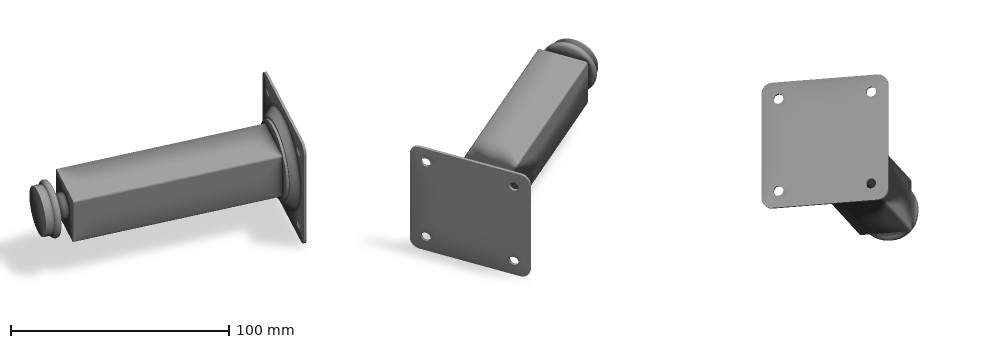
import cadquery as cq
import math


plate_side = 60.0
plate_thickness = 1.2
plate_corner_radius = 5.0
screw_hole_diameter = 4.7
screw_hole_spacing = 44.0

cone_base_diameter = 49.0
cone_top_diameter = 41.2
cone_end_station = 4.9
disc_diameter = 38.4
disc_end_station = 6.0

leg_side = 25.0
leg_edge_radius = 1.2
leg_end_station = 107.0

overall_length = 120.0
stem_diameter = 13.0
pad_diameter = 24.2
pad_height = 4.0
rim_diameter = 27.6
dome_edge_slope = 16.0


def rod(diameter, start, end):
    """Round bar about the leg axis between two stations."""
    return cq.Workplane("XZ", origin=(0, -start, 0)).circle(diameter / 2).extrude(end - start)


def make_plate():
    """Square plate with rounded corners and a screw hole near each corner."""
    return (
        cq.Workplane("XZ")
        .rect(plate_side, plate_side)
        .extrude(plate_thickness)
        .edges("|Y")
        .fillet(plate_corner_radius)
        .faces("<Y")
        .workplane(centerOption="CenterOfBoundBox")
        .rect(screw_hole_spacing, screw_hole_spacing, forConstruction=True)
        .vertices()
        .hole(screw_hole_diameter)
    )


def make_flange():
    """Cone on the plate, carrying the thin disc the leg stands on."""
    cone = (
        cq.Workplane("XZ", origin=(0, -plate_thickness, 0))
        .circle(cone_base_diameter / 2)
        .workplane(offset=cone_end_station - plate_thickness)
        .circle(cone_top_diameter / 2)
        .loft(ruled=True)
    )
    return cone.union(rod(disc_diameter, cone_end_station, disc_end_station))


def make_leg():
    """Square bar with rounded long edges."""
    return (
        cq.Workplane("XZ", origin=(0, -disc_end_station, 0))
        .rect(leg_side, leg_side)
        .extrude(leg_end_station - disc_end_station)
        .edges("|Y")
        .fillet(leg_edge_radius)
    )


def make_foot():
    """Stem and pad, with a round rim that blends into a shallow dome, level where it meets the stem."""
    pad_radius = pad_diameter / 2
    stem_radius = stem_diameter / 2
    rim_radius = rim_diameter / 2 - pad_radius
    rim_front = pad_height - overall_length
    rim_middle = rim_front + rim_radius
    slope = math.radians(dome_edge_slope)
    dome_edge_radius = pad_radius + rim_radius * math.sin(slope)
    dome_base = rim_middle + rim_radius * math.cos(slope)
    dome_top = dome_base + (dome_edge_radius - stem_radius) * math.tan(slope / 2)
    profile = (
        cq.Workplane("XY")
        .moveTo(0, -overall_length)
        .lineTo(pad_radius, -overall_length)
        .lineTo(pad_radius, rim_front)
        .threePointArc((rim_diameter / 2, rim_middle), (dome_edge_radius, dome_base))
        .tangentArcPoint((stem_radius, dome_top), relative=False)
        .lineTo(stem_radius, -leg_end_station)
        .lineTo(0, -leg_end_station)
        .close()
    )
    return profile.revolve(360, (0, 0, 0), (0, 1, 0))


result = make_plate().union(make_flange()).union(make_leg()).union(make_foot())